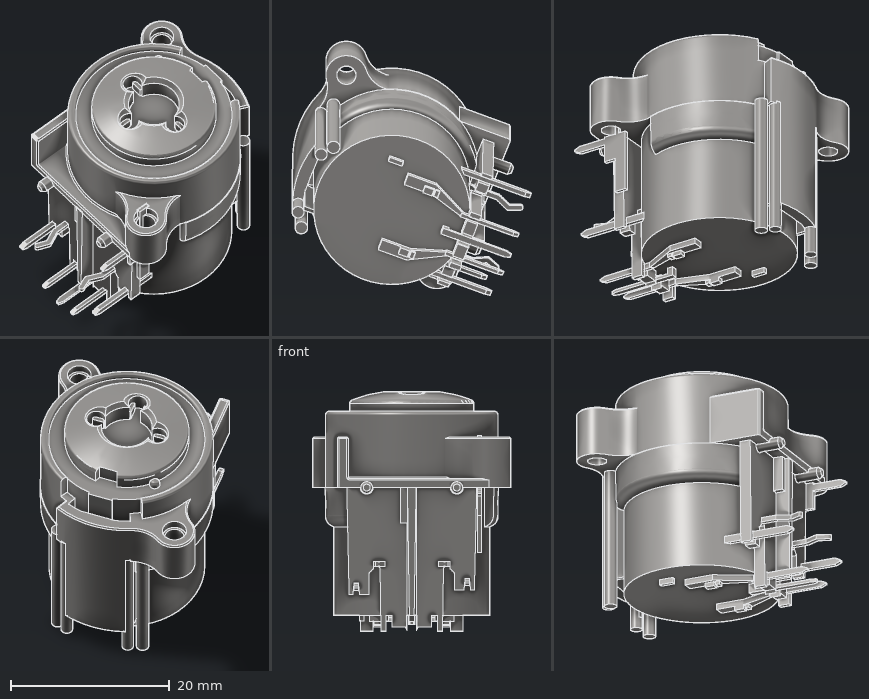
import cadquery as cq
import math

OVERALL_L = 28.56
OVERALL_H = 30.25
OVERLAP = 0.3

BODY_R = 10.9
SKIRT_R = 10.97
CORE_R = 9.85
BODY_TOP = 9.63
RIM_ROUND = 0.5
DISC_TOP = BODY_TOP - RIM_ROUND
SKIRT_ROUND = 1.45
SKIRT_BOTTOM = -4.95
CORE_BOTTOM = -16.13
SKIRT_CUT_Y = -3.6
REAR_GAP_HALF_ANGLE = 30

CAP_R = 7.85
CAP_SIDE_TOP = 10.5
DOME_EDGE_R = 7.55
DOME_EDGE_Z = 11.05
DOME_SPHERE_R = 21.0
TOP_Z = 12.1
SOCKET_R = 3.2
LOBE_R = 1.2
LOBE_OFFSET = 4.1
SOCKET_CHAMFER = 0.28
CONTACT_GAP = 1.25
LEDGE_TOP = 10.4
LEDGE_LENGTH = 1.5
LEDGE_WIDTH = 0.5
NOTCH_DEPTH_Y = 7.0
NOTCH_INNER_HALF = 1.15
NOTCH_OUTER_HALF = 1.5
DOT_XY = 5.8
DOT_R = 0.65
DOT_ROUND = 0.55
DOT_TOP = 9.98

FLANGE_H = 6.4
FLANGE_CHAMFER = 0.2
REAR_R = 12.5
LUG_R = 2.6
LUG_XY = REAR_R - LUG_R
LUG_BLEND_R = 3.9
LUG_ROOT_R = BODY_R - 0.1
REAR_END_ANGLE = 64.5
HOLE_D = 2.4
COUNTERBORE_D = 3.0
COUNTERBORE_DEPTH = 1.2

SLOT_OUTER_R = 11.1
SLOT_FLAT_Y = 10.86
SLOT_HALF_ANGLE = 22
LATCH_HALF_WIDTH = 1.57
LATCH_Y = 10.0
CHANNEL_HALF_WIDTH = 4.6
CHANNEL_WALL = 0.5
CHANNEL_BACK_WALL = 1.6
CHANNEL_BOTTOM = -14.0
CHANNEL_ROOT_Y = 8.0
POST_X = 4.08
POST_Y = 11.09
POST_R = 0.75
POST_BOTTOM = -17.6
PEG_X = 5.68
PEG_Y = 10.03
PEG_R = 0.8
LOWEST_Z = TOP_Z - OVERALL_H

FRONT_Y = -REAR_R
SHELF_X = (-9.36, 9.96)
SHELF_H = 1.15
SIDE_WALL_T = 1.36
SIDE_WALL_REAR_Y = -5.45
SHELF_ROUND = 0.2

PLATE_Y = (-10.65, -9.2)
PLATE_TOP_X = 8.2
PLATE_BOTTOM_X = 7.9
PLATE_INNER_X = 0.6
PLATE_BOTTOM = -17.6
SPUR_BOTTOM = -18.0
SPUR_W = 0.2
TAB_INNER_X = 5.4
TAB_STEP_Z = -10.8
CLIP_WINDOW_X = (4.0, 4.8)
PIN_NOTCH_H = 1.45
PIN_NOTCH_HALF = 0.27
PIN_NOTCH_FLARE = 0.15
LEG_X = (3.22, 3.88)
INNER_NOTCH_X = 2.5
LEFT_TAB_BOTTOM = -13.5
RIGHT_TAB_BOTTOM = -12.95
RIB_TOP_HALF = 0.55
RIB_BOTTOM_HALF = 0.3
RIB_FRONT_Y = -12.4
SHORT_RIB_X = (-1.4, -0.55)
SHORT_RIB_FRONT_Y = -11.9
SHORT_RIB_BOTTOM = -4.45

STUD_R = 0.74
STUD_COLLAR_R = 0.89
STUD_COLLAR_Y = -10.9
STUD_TIP_R = 0.43
STUD_CONE_Y = -13.65
STUD_TIP_Y = -14.1

TIP_Y = REAR_R - OVERALL_L
TIP_LENGTH = 0.7
PIN_X = 7.0
PIN_W = 0.6
PIN_H = 0.88
PIN_REAR_Y = -6.55
LEFT_PIN_Z = -12.55
RIGHT_PIN_Z = -11.9
INNER_PIN_X = 2.7
INNER_PIN_W = 0.48
INNER_PIN_Z = -16.5
INNER_PIN_H = 0.75
STRIP_X = (3.9, 5.3)
STRIP_Y = (-8.6, -0.2)
STRIP_BEND_Y = -4.0
STRIP_BOTTOM = -16.87
CENTRE_PIN_W = 0.8
CENTRE_PIN_Z = (-17.3, -16.9)
CENTRE_PIN_REAR_Y = -6.8
BLADE_X = (8.3, 8.8)
BLADE_Y = (-9.97, -8.45)
BLADE_Z = (-8.2, 6.57)
BLADE_SHOULDER_Y = (-11.6, -8.45)
BLADE_SHOULDER_Z = (-3.5, 0)
BLADE_PIN_Z = -0.65
CLIP_Z = (-9.93, -9.35)
CLIP_W = 0.65
CLIP_PATH = [(-4.5, -8.45), (-4.5, -12.6), (-3.7, -14.35), (-4.25, -15.73)]

BOSS_X = (3.9, 4.75)
WIDE_BOSS_Y = (-3.95, -2.7)
WIDE_BOSS_BOTTOM = -17.4
NARROW_BOSS_Y = (-4.7, -4.15)
NARROW_BOSS_BOTTOM = -17.3
KEY_X = (-6.6, -6.05)
KEY_Y = (0.92, 2.77)
KEY_BOTTOM = -16.8


def box(x, y, z):
    """Block spanning the given (low, high) ranges."""
    size = (x[1] - x[0], y[1] - y[0], z[1] - z[0])
    return cq.Workplane("XY").box(*size, centered=False).translate((x[0], y[0], z[0]))


def cylinder(radius, z, x=0, y=0):
    """Upright cylinder between two heights."""
    return cq.Workplane("XY", origin=(x, y, z[0])).circle(radius).extrude(z[1] - z[0])


def extrude_outline(points, z):
    """Upright prism from a closed XY polygon."""
    return cq.Workplane("XY", origin=(0, 0, z[0])).polyline(points).close().extrude(z[1] - z[0])


def polar(radius, degrees):
    """Point at a radius and an angle from +X."""
    angle = math.radians(degrees)
    return (radius * math.cos(angle), radius * math.sin(angle))


def rear_sector(half_angle, inner_r, outer_r, z):
    """Ring segment centred on +Y."""
    start, end = 90 - half_angle, 90 + half_angle
    return (
        cq.Workplane("XY", origin=(0, 0, z[0]))
        .moveTo(*polar(inner_r, start))
        .lineTo(*polar(outer_r, start))
        .threePointArc((0, outer_r), polar(outer_r, end))
        .lineTo(*polar(inner_r, end))
        .threePointArc((0, inner_r), polar(inner_r, start))
        .close()
        .extrude(z[1] - z[0])
    )


def mirrored(shape):
    """A shape together with its mirror image across the YZ plane."""
    return shape.union(shape.mirror("YZ"))


def make_barrel():
    profile = (
        cq.Workplane("XZ")
        .moveTo(0, CORE_BOTTOM)
        .lineTo(CORE_R, CORE_BOTTOM)
        .lineTo(CORE_R, SKIRT_BOTTOM)
        .radiusArc((BODY_R, SKIRT_BOTTOM + SKIRT_ROUND), -SKIRT_ROUND)
        .lineTo(SKIRT_R, 0)
        .lineTo(BODY_R, 0)
        .lineTo(BODY_R, DISC_TOP)
        .radiusArc((BODY_R - RIM_ROUND, BODY_TOP), -RIM_ROUND)
        .radiusArc((CORE_R, DISC_TOP), -(BODY_R - RIM_ROUND - CORE_R))
        .lineTo(0, DISC_TOP)
        .close()
    )
    barrel = profile.revolve(360, (0, 0, 0), (0, 1, 0))
    corner = box((0, 2 * SKIRT_R), (-2 * SKIRT_R, SKIRT_CUT_Y), (SKIRT_BOTTOM - 1, 0))
    front = box((-SKIRT_R, SKIRT_R), (-2 * SKIRT_R, PLATE_Y[0] + OVERLAP), (SKIRT_BOTTOM - 1, 0))
    barrel = barrel.cut(corner.cut(cylinder(CORE_R, (SKIRT_BOTTOM - 1, 0)))).cut(front)
    return barrel.cut(rear_sector(REAR_GAP_HALF_ANGLE, CORE_R, 2 * BODY_R, (FLANGE_H, TOP_Z)))


def blend(lug, base_r, side):
    """Tangent points and middle of the arc easing a lug into a circle on the body axis.

    side is +1 or -1 for the side of the lug, counter-clockwise about the axis being +1.
    """
    distance = math.hypot(*lug)
    to_body = base_r + LUG_BLEND_R
    to_lug = LUG_R + LUG_BLEND_R
    cosine = (distance**2 + to_body**2 - to_lug**2) / (2 * distance * to_body)
    turn = math.degrees(math.acos(cosine))
    direction = math.degrees(math.atan2(lug[1], lug[0])) + side * turn
    centre = polar(to_body, direction)
    on_body = polar(base_r, direction)
    share = LUG_R / to_lug
    on_lug = tuple(c + share * (b - c) for b, c in zip(centre, lug))
    middle = ((on_body[0] + on_lug[0]) / 2, (on_body[1] + on_lug[1]) / 2)
    reach = math.hypot(middle[0] - centre[0], middle[1] - centre[1])
    bulge = tuple(c + (m - c) * LUG_BLEND_R / reach for m, c in zip(middle, centre))
    return on_body, bulge, on_lug


def lug_outline(lug, clockwise_r, counter_r):
    """Open outline from the body, around a lug, back to the body."""
    start, start_bulge, lug_in = blend(lug, counter_r, 1)
    end, end_bulge, lug_out = blend(lug, clockwise_r, -1)
    stretch = 1 + LUG_R / math.hypot(*lug)
    tip = (lug[0] * stretch, lug[1] * stretch)
    return (
        cq.Workplane("XY")
        .moveTo(*start)
        .threePointArc(start_bulge, lug_in)
        .threePointArc(tip, lug_out)
        .threePointArc(end_bulge, end)
    )


def make_flange():
    rear_lug = (-LUG_XY, LUG_XY)
    front_lug = (LUG_XY, -LUG_XY)
    rear = lug_outline(rear_lug, REAR_R, LUG_ROOT_R)
    rear = rear.threePointArc((0, REAR_R), polar(REAR_R, REAR_END_ANGLE)).lineTo(0, 0).close()
    front = lug_outline(front_lug, LUG_ROOT_R, LUG_ROOT_R)
    front = front.lineTo(0, 0).close()
    flange = cylinder(BODY_R / 2, (0, FLANGE_H))
    for outline in (rear, front):
        flange = flange.union(outline.extrude(FLANGE_H).faces(">Z").edges().chamfer(FLANGE_CHAMFER))
    return flange


def make_lug_holes():
    """Counterbored mounting holes through both lugs."""
    holes = cq.Workplane("XY", origin=(0, 0, FLANGE_H))
    holes = holes.pushPoints([(-LUG_XY, LUG_XY), (LUG_XY, -LUG_XY)])
    bore = holes.circle(HOLE_D / 2).extrude(-FLANGE_H)
    return bore.union(holes.circle(COUNTERBORE_D / 2).extrude(-COUNTERBORE_DEPTH))


def make_shelf():
    wall_inner_x = SHELF_X[0] + SIDE_WALL_T
    profile = (
        cq.Workplane("XZ")
        .moveTo(SHELF_X[0], 0)
        .lineTo(SHELF_X[1], 0)
        .lineTo(SHELF_X[1], SHELF_H)
        .lineTo(wall_inner_x + SHELF_ROUND, SHELF_H)
        .radiusArc((wall_inner_x, SHELF_H + SHELF_ROUND), SHELF_ROUND)
        .lineTo(wall_inner_x, FLANGE_H)
        .lineTo(SHELF_X[0], FLANGE_H)
        .close()
    )
    shelf = profile.extrude(SIDE_WALL_REAR_Y - FRONT_Y).translate((0, SIDE_WALL_REAR_Y, 0))
    shelf = shelf.faces("<Y").edges("not <Z").chamfer(FLANGE_CHAMFER)
    shelf = shelf.faces(">Z").edges().chamfer(FLANGE_CHAMFER)
    beyond_body = box((0, 2 * BODY_R), (-LUG_XY, 0), (0, FLANGE_H))
    bevel = cq.Workplane(cq.Solid.makeCone(BODY_R + 2 * FLANGE_CHAMFER, BODY_R, 2 * FLANGE_CHAMFER))
    bevel = bevel.translate((0, 0, SHELF_H - FLANGE_CHAMFER))
    front = box((wall_inner_x, LUG_XY), (FRONT_Y, SIDE_WALL_REAR_Y), (0, FLANGE_H))
    return shelf.union(bevel.intersect(front)).cut(beyond_body)


def make_cap():
    dome_crown = DOME_EDGE_Z + DOME_SPHERE_R - math.sqrt(DOME_SPHERE_R**2 - DOME_EDGE_R**2)
    profile = (
        cq.Workplane("XZ")
        .moveTo(0, DISC_TOP - OVERLAP)
        .lineTo(CAP_R, DISC_TOP - OVERLAP)
        .lineTo(CAP_R, CAP_SIDE_TOP)
        .radiusArc((DOME_EDGE_R, DOME_EDGE_Z), -(DOME_EDGE_Z - CAP_SIDE_TOP))
        .radiusArc((0, dome_crown), -DOME_SPHERE_R)
        .close()
    )
    cap = profile.revolve(360, (0, 0, 0), (0, 1, 0))
    cap = cap.intersect(cylinder(CAP_R, (0, TOP_Z)))
    notch = [
        (-NOTCH_INNER_HALF, NOTCH_DEPTH_Y),
        (NOTCH_INNER_HALF, NOTCH_DEPTH_Y),
        (NOTCH_OUTER_HALF, CAP_R),
        (-NOTCH_OUTER_HALF, CAP_R),
    ]
    cap = cap.cut(extrude_outline(notch, (DISC_TOP, TOP_Z)))
    dot = cylinder(DOT_R, (DISC_TOP - OVERLAP, DOT_TOP), -DOT_XY, DOT_XY)
    return cap.union(dot.faces(">Z").edges().fillet(DOT_ROUND))


def make_socket():
    """Opening for the plug: a round well with three contact lobes."""
    socket = cylinder(SOCKET_R, (DISC_TOP, TOP_Z))
    mouth = flared(SOCKET_R, 0, 0)
    ledges = None
    for angle in (0, 180, 270):
        x, y = polar(LOBE_OFFSET, angle)
        socket = socket.union(cylinder(LOBE_R, (DISC_TOP, TOP_Z), x, y))
        mouth = mouth.union(flared(LOBE_R, x, y))
        for side in (-1, 1):
            ledge = (
                cq.Workplane("XY")
                .box(LEDGE_LENGTH, LEDGE_WIDTH, LEDGE_TOP - DISC_TOP)
                .translate((LOBE_OFFSET, side * (CONTACT_GAP + LEDGE_WIDTH) / 2, 0))
                .translate((0, 0, (LEDGE_TOP + DISC_TOP) / 2))
                .rotate((0, 0, 0), (0, 0, 1), angle)
            )
            ledges = ledge if ledges is None else ledges.union(ledge)
    return socket.cut(ledges).union(mouth)


def flared(radius, x, y):
    """Conical mouth that breaks the edge of a round opening."""
    cone = cq.Solid.makeCone(radius, radius + 2 * SOCKET_CHAMFER, 2 * SOCKET_CHAMFER)
    return cq.Workplane(cone.translate(cq.Vector(x, y, TOP_Z - 2 * SOCKET_CHAMFER)))


def make_rear_slot():
    slot = rear_sector(SLOT_HALF_ANGLE, CORE_R, SLOT_OUTER_R, (CORE_BOTTOM, BODY_TOP))
    return slot.intersect(box((-BODY_R, BODY_R), (0, SLOT_FLAT_Y), (CORE_BOTTOM, BODY_TOP)))


def make_latch():
    """Flat tab standing into the rear slot."""
    return box((-LATCH_HALF_WIDTH, LATCH_HALF_WIDTH), (CORE_R - OVERLAP, LATCH_Y), (0, DISC_TOP))


def make_rear_channel():
    """Walls below the latch slot, with two posts and two board pegs."""
    z = (CHANNEL_BOTTOM, OVERLAP)
    side = box((CHANNEL_HALF_WIDTH - CHANNEL_WALL, CHANNEL_HALF_WIDTH), (CHANNEL_ROOT_Y, POST_Y), z)
    half_angle = math.degrees(math.asin(CHANNEL_HALF_WIDTH / REAR_R))
    back = rear_sector(half_angle, REAR_R - CHANNEL_BACK_WALL, REAR_R, z)
    post = cylinder(POST_R, (POST_BOTTOM, OVERLAP), POST_X, POST_Y)
    peg = cylinder(PEG_R, (LOWEST_Z, OVERLAP), PEG_X, PEG_Y)
    return back.union(mirrored(side.union(post).union(peg)))


def plate_half(tab_bottom):
    """The +X half of the front plate, with its leg and terminal notches."""
    notch_top = tab_bottom + PIN_NOTCH_H
    notch_mouth = PIN_NOTCH_HALF + PIN_NOTCH_FLARE
    window_step = CLIP_WINDOW_X[1] - CLIP_WINDOW_X[0]
    outline = [
        (PLATE_INNER_X, OVERLAP),
        (PLATE_TOP_X, OVERLAP),
        (PLATE_BOTTOM_X, tab_bottom),
        (PIN_X + notch_mouth, tab_bottom),
        (PIN_X + PIN_NOTCH_HALF, notch_top),
        (PIN_X - PIN_NOTCH_HALF, notch_top),
        (PIN_X - notch_mouth, tab_bottom),
        (TAB_INNER_X, tab_bottom),
        (TAB_INNER_X, TAB_STEP_Z),
        (CLIP_WINDOW_X[1], TAB_STEP_Z + TAB_INNER_X - CLIP_WINDOW_X[1]),
        (CLIP_WINDOW_X[1], CLIP_Z[1]),
        (CLIP_WINDOW_X[0], CLIP_Z[1] - window_step),
        (LEG_X[1], LOWEST_Z),
        (LEG_X[0], LOWEST_Z),
        (LEG_X[0], CORE_BOTTOM),
        (INNER_NOTCH_X, CORE_BOTTOM),
        (INNER_NOTCH_X, PLATE_BOTTOM),
        (PLATE_INNER_X + SPUR_W, PLATE_BOTTOM),
        (PLATE_INNER_X, SPUR_BOTTOM),
    ]
    half = cq.Workplane("XZ").polyline(outline).close().extrude(PLATE_Y[1] - PLATE_Y[0])
    return half.translate((0, PLATE_Y[1], 0))


def make_front_plate():
    plate = plate_half(RIGHT_TAB_BOTTOM).union(plate_half(LEFT_TAB_BOTTOM).mirror("YZ"))
    rib_outline = [
        (-RIB_TOP_HALF, OVERLAP),
        (RIB_TOP_HALF, OVERLAP),
        (RIB_BOTTOM_HALF, CORE_BOTTOM),
        (-RIB_BOTTOM_HALF, CORE_BOTTOM),
    ]
    rib = cq.Workplane("XZ").polyline(rib_outline).close().extrude(-RIB_FRONT_Y - CORE_R + OVERLAP)
    rib = rib.translate((0, OVERLAP - CORE_R, 0))
    short_rib = box(SHORT_RIB_X, (SHORT_RIB_FRONT_Y, PLATE_Y[1]), (SHORT_RIB_BOTTOM, OVERLAP))
    return plate.union(rib).union(short_rib)


def make_stud():
    profile = (
        cq.Workplane("XY")
        .moveTo(0, PLATE_Y[0] + OVERLAP)
        .lineTo(STUD_COLLAR_R, PLATE_Y[0] + OVERLAP)
        .lineTo(STUD_R, STUD_COLLAR_Y)
        .lineTo(STUD_R, STUD_CONE_Y)
        .lineTo(STUD_TIP_R, STUD_TIP_Y)
        .lineTo(0, STUD_TIP_Y)
        .close()
    )
    return profile.revolve(360, (0, 0, 0), (0, 1, 0)).translate((PEG_X, 0, 0))


def make_pin(x, z, width, height, rear_y):
    """Straight terminal along Y with a tapered tip."""
    half = height / 2
    outline = [
        (rear_y, z - half),
        (rear_y, z + half),
        (TIP_Y + TIP_LENGTH, z + half),
        (TIP_Y, z + half / 4),
        (TIP_Y, z - half / 4),
        (TIP_Y + TIP_LENGTH, z - half),
    ]
    return cq.Workplane("YZ", origin=(x - width / 2, 0, 0)).polyline(outline).close().extrude(width)


def make_centre_pin():
    half = CENTRE_PIN_W / 2
    outline = [
        (-half, CENTRE_PIN_REAR_Y),
        (-half, TIP_Y + TIP_LENGTH),
        (-half / 2, TIP_Y),
        (half / 2, TIP_Y),
        (half, TIP_Y + TIP_LENGTH),
        (half, CENTRE_PIN_REAR_Y),
    ]
    pin = extrude_outline(outline, CENTRE_PIN_Z)
    root_y = (CENTRE_PIN_REAR_Y - CENTRE_PIN_W, CENTRE_PIN_REAR_Y)
    return pin.union(box((-half, half), root_y, (CENTRE_PIN_Z[0], CORE_BOTTOM + OVERLAP)))


def make_clip():
    """Bent board clip on the -X side, a strip of even width along its path."""
    path = cq.Workplane("XY", origin=(0, 0, CLIP_Z[0])).polyline(CLIP_PATH).wire()
    return path.offset2D(CLIP_W / 2).extrude(CLIP_Z[1] - CLIP_Z[0])


def make_terminals():
    pins = make_pin(-PIN_X, LEFT_PIN_Z, PIN_W, PIN_H, PIN_REAR_Y)
    pins = pins.union(make_pin(PIN_X, RIGHT_PIN_Z, PIN_W, PIN_H, PIN_REAR_Y))
    inner = make_pin(INNER_PIN_X, INNER_PIN_Z, INNER_PIN_W, INNER_PIN_H, STRIP_Y[0] + OVERLAP)
    half = INNER_PIN_W / 2
    strip_outline = [
        (INNER_PIN_X - half, STRIP_Y[0]),
        (INNER_PIN_X + half, STRIP_Y[0]),
        (STRIP_X[1], STRIP_BEND_Y),
        (STRIP_X[1], STRIP_Y[1]),
        (STRIP_X[0], STRIP_Y[1]),
        (STRIP_X[0], STRIP_BEND_Y),
    ]
    strip = extrude_outline(strip_outline, (STRIP_BOTTOM, CORE_BOTTOM + OVERLAP))
    pins = pins.union(mirrored(inner.union(strip))).union(make_centre_pin())
    blade_x = sum(BLADE_X) / 2
    blade_pin = make_pin(blade_x, BLADE_PIN_Z, BLADE_X[1] - BLADE_X[0], PIN_H, BLADE_Y[1])
    shoulder = box(BLADE_X, BLADE_SHOULDER_Y, BLADE_SHOULDER_Z)
    return pins.union(box(BLADE_X, BLADE_Y, BLADE_Z)).union(shoulder).union(blade_pin)


def make_bottom_bosses():
    """Small blocks under the barrel."""
    top = CORE_BOTTOM + OVERLAP
    wide = box(BOSS_X, WIDE_BOSS_Y, (WIDE_BOSS_BOTTOM, top))
    narrow = box(BOSS_X, NARROW_BOSS_Y, (NARROW_BOSS_BOTTOM, top))
    key = box(KEY_X, KEY_Y, (KEY_BOTTOM, top))
    return mirrored(wide.union(narrow)).union(key)


result = (
    make_barrel()
    .union(make_flange())
    .union(make_shelf())
    .cut(make_lug_holes())
    .union(make_cap())
    .cut(make_socket())
    .union(make_rear_channel())
    .cut(make_rear_slot())
    .union(make_latch())
    .union(make_front_plate())
    .union(mirrored(make_stud()))
    .union(make_terminals())
    .union(mirrored(make_clip()))
    .union(make_bottom_bosses())
)